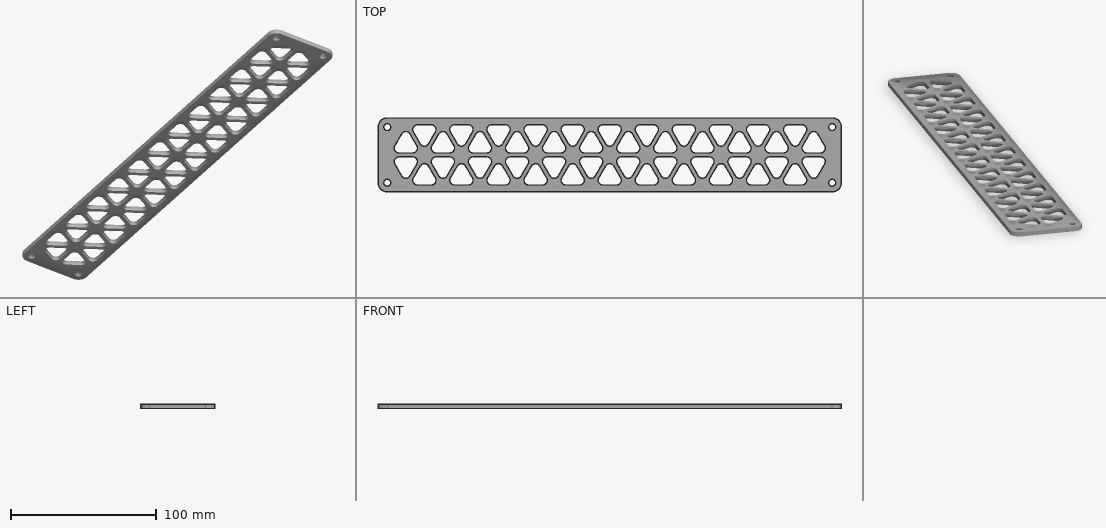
import cadquery as cq
import math

LENGTH = 317.5
WIDTH = 50.8
THICKNESS = 3.175
CORNER_RADIUS = 6.35

HOLE_DIAMETER = 4.62
HOLE_INSET = CORNER_RADIUS

CELL_SIDE = 25.4
RIB_WIDTH = 2.86
WINDOW_RADIUS = 3.175
INNER_WINDOWS = 12
OUTER_WINDOWS = INNER_WINDOWS - 1

CELL_HEIGHT = CELL_SIDE * math.sqrt(3) / 2
CELL_INRADIUS = CELL_HEIGHT / 3
WINDOW_CIRCUMRADIUS = 2 * (CELL_INRADIUS - RIB_WIDTH / 2)


def make_plate():
    return (
        cq.Workplane("XY")
        .box(LENGTH, WIDTH, THICKNESS)
        .edges("|Z")
        .fillet(CORNER_RADIUS)
    )


def drill_mounting_holes(plate):
    return (
        plate.faces(">Z")
        .workplane()
        .rect(LENGTH - 2 * HOLE_INSET, WIDTH - 2 * HOLE_INSET, forConstruction=True)
        .vertices()
        .hole(HOLE_DIAMETER)
    )


def make_window(apex_direction):
    """Rounded triangular prism about the origin; apex_direction is +1 for +Y, -1 for -Y."""
    corners = []
    for angle in (90, 210, 330):
        x = WINDOW_CIRCUMRADIUS * math.cos(math.radians(angle))
        y = WINDOW_CIRCUMRADIUS * math.sin(math.radians(angle))
        corners.append((x, apex_direction * y))
    return (
        cq.Workplane("XY")
        .polyline(corners)
        .close()
        .extrude(THICKNESS, both=True)
        .edges("|Z")
        .fillet(WINDOW_RADIUS)
        .val()
    )


def cut_window_row(plate, count, y, apex_direction):
    """Cut a row of evenly spaced windows, centred on X = 0."""
    window = make_window(apex_direction)
    first_x = -(count - 1) * CELL_SIDE / 2
    windows = []
    for index in range(count):
        windows.append(window.moved(cq.Location(cq.Vector(first_x + index * CELL_SIDE, y, 0))))
    return plate.cut(cq.Compound.makeCompound(windows))


def cut_lattice(plate):
    inner_y = CELL_INRADIUS
    outer_y = CELL_HEIGHT - CELL_INRADIUS
    for side in (1, -1):
        plate = cut_window_row(plate, INNER_WINDOWS, side * inner_y, side)
        plate = cut_window_row(plate, OUTER_WINDOWS, side * outer_y, -side)
    return plate


result = cut_lattice(drill_mounting_holes(make_plate()))